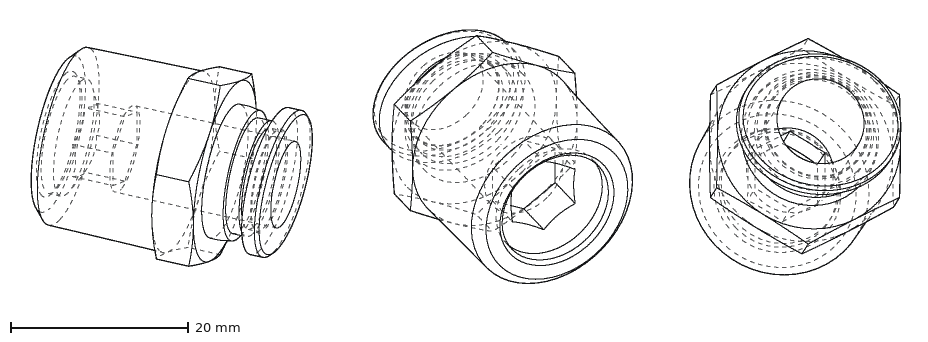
import cadquery as cq
import math

thread_chamfer_end = 1.2
nut_start = 15.0
nut_end = 20.0
shoulder_taper_start = 21.05
shoulder_end = 22.5
collar_end = 24.1
neck_end = 25.2
ring_start = 25.35
overall_length = 27.3

thread_end_radius = 9.05
thread_tip_radius = 10.29
thread_base_radius = 10.5
shoulder_radius = 7.75
shoulder_taper_radius = 7.55
collar_radius = 6.7
neck_radius = 5.85
neck_flare = ring_start - neck_end

hex_sides = 6
hex_half_side_angle = math.radians(180 / hex_sides)
nut_across_flats = 21.0
nut_chamfer_angle = 19.0

ring_width_y = 18.6
ring_width_z = 16.1
ring_chamfer = 0.42

bore_mouth_radius = 7.28
bore_radius = 6.78
bore_chamfer_depth = 0.4
bore_depth = 1.87
drill_half_angle = 59.0
socket_across_flats = 8.0
socket_end = 8.0
tube_bore_diameter = 10.0


def revolve_profile(points):
    """Revolve (x, radius) points, closed along the X axis, into a solid."""
    first_x = points[0][0]
    last_x, last_radius = points[-1]
    outline = [(first_x, 0)] + points
    if last_radius > 0:
        outline.append((last_x, 0))
    return cq.Workplane("XZ").polyline(outline).close().revolve(360, (0, 0, 0), (1, 0, 0))


def hex_prism(across_flats, start, end):
    """Hexagonal bar along X with two corners on the Z axis."""
    corner_diameter = across_flats / math.cos(hex_half_side_angle)
    return (
        cq.Workplane("YZ", origin=(start, 0, 0))
        .transformed(rotate=(0, 0, 90))
        .polygon(hex_sides, corner_diameter)
        .extrude(end - start)
    )


def make_thread_body():
    """Plain taper standing for the pipe thread, chamfered at its tip."""
    return revolve_profile([
        (0, thread_end_radius),
        (thread_chamfer_end, thread_tip_radius),
        (nut_start, thread_base_radius),
    ])


def make_nut():
    """Hexagon with both faces coned so each flat touches the face circle."""
    flat_radius = nut_across_flats / 2
    corner_radius = flat_radius / math.cos(hex_half_side_angle)
    cone_length = (corner_radius - flat_radius) * math.tan(math.radians(nut_chamfer_angle))
    cone_envelope = revolve_profile([
        (nut_start, flat_radius),
        (nut_start + cone_length, corner_radius),
        (nut_end - cone_length, corner_radius),
        (nut_end, flat_radius),
    ])
    return hex_prism(nut_across_flats, nut_start, nut_end).intersect(cone_envelope)


def make_stepped_neck():
    """Tapered shoulder, collar and neck, flaring at 45 degrees into the ring."""
    return revolve_profile([
        (nut_end, shoulder_radius),
        (shoulder_taper_start, shoulder_radius),
        (shoulder_end, shoulder_taper_radius),
        (shoulder_end, collar_radius),
        (collar_end, collar_radius),
        (collar_end, neck_radius),
        (neck_end, neck_radius),
        (ring_start, neck_radius + neck_flare),
    ])


def make_release_ring():
    """Elliptical plate, wider in Y than in Z, with its outer rim chamfered."""
    return (
        cq.Workplane("YZ", origin=(ring_start, 0, 0))
        .ellipse(ring_width_y / 2, ring_width_z / 2)
        .extrude(overall_length - ring_start)
        .faces(">X")
        .chamfer(ring_chamfer)
    )


def make_passage():
    """Chamfered bore with a drill-point floor, hexagonal socket and tube bore."""
    point_depth = bore_radius / math.tan(math.radians(drill_half_angle))
    bore = revolve_profile([
        (0, bore_mouth_radius),
        (bore_chamfer_depth, bore_radius),
        (bore_depth, bore_radius),
        (bore_depth + point_depth, 0),
    ])
    socket = hex_prism(socket_across_flats, bore_depth, socket_end)
    tube_bore = (
        cq.Workplane("YZ", origin=(socket_end, 0, 0))
        .circle(tube_bore_diameter / 2)
        .extrude(overall_length - socket_end)
    )
    return bore.union(socket).union(tube_bore)


outer_body = (
    make_thread_body()
    .union(make_nut())
    .union(make_stepped_neck())
    .union(make_release_ring())
)
result = outer_body.cut(make_passage())